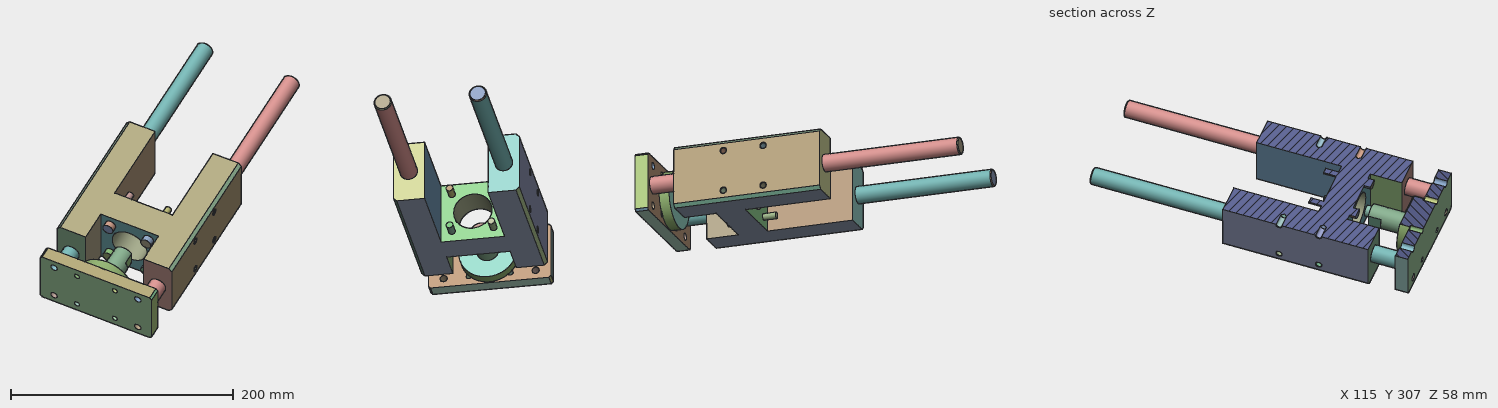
import cadquery as cq

housing_width = 115.0
housing_height = 58.0
housing_front = 37.5
housing_length = 139.7
bay_width = 58.0
web_front = 68.0
web_thickness = 28.0
housing_chamfer = 3.0
web_bore_diameter = 35.0

fixing_pitch = 38.0
screw_head_diameter = 10.0
screw_head_height = 5.8
screw_shank_diameter = 6.0
screw_shank_projection = 12.3

flank_hole_diameter = 5.2
flank_hole_mouth_diameter = 6.0
flank_hole_depth = 12.3
flank_hole_tip_depth = 1.8
flank_hole_first_y = 85.0

overall_length = 307.0
plate_width = 112.0
plate_height = 55.0
plate_thickness = 12.3
plate_chamfer = 2.0
plate_outer_pitch = 84.0
plate_outer_hole_diameter = 6.5
plate_inner_hole_diameter = 5.0
rod_diameter = 16.0
rod_spacing = 87.0
rod_chamfer = 1.0
flange_diameter = 53.0
flange_thickness = 9.5
stud_diameter = 20.0
stud_length = 34.0
stud_flat_length = 12.3
stud_flat_width = 16.0

rod_centers = [(-rod_spacing / 2, 0), (rod_spacing / 2, 0)]


def block(width, length, height, front):
    """Box centred on X and Z that runs along +Y from its front face."""
    return cq.Workplane("XY").box(width, length, height).translate((0, front + length / 2, 0))


def cylinders(centers, diameter, front, length):
    """Cylinders along +Y at (x, z) centers, starting at the front Y."""
    plane = cq.Plane(origin=(0, front, 0), xDir=(1, 0, 0), normal=(0, -1, 0))
    return cq.Workplane(plane).pushPoints(centers).circle(diameter / 2).extrude(-length)


def grid(pitch_x, pitch_z):
    """Four (x, z) points at the corners of a centred rectangle."""
    return [(x * pitch_x / 2, z * pitch_z / 2) for x in (-1, 1) for z in (-1, 1)]


def chamfered_profile(width, height, chamfer):
    """Corner points of a centred rectangle with its four corners cut off."""
    x = width / 2
    z = height / 2
    inner_x = x - chamfer
    inner_z = z - chamfer
    return [
        (-inner_x, -z), (inner_x, -z), (x, -inner_z), (x, inner_z),
        (inner_x, z), (-inner_x, z), (-x, inner_z), (-x, -inner_z),
    ]


def chamfered_bar(width, length, height, front, chamfer):
    """Chamfered rectangle extruded along +Y from its front face."""
    profile = chamfered_profile(width, height, chamfer)
    plane = cq.Plane(origin=(0, front, 0), xDir=(1, 0, 0), normal=(0, -1, 0))
    return cq.Workplane(plane).polyline(profile).close().extrude(-length)


def flank_hole_cutters():
    """Countersunk blind holes with conical bottoms, drilled into both outer flanks."""
    radius = flank_hole_diameter / 2
    mouth_radius = flank_hole_mouth_diameter / 2
    mouth_depth = mouth_radius - radius
    tip = flank_hole_depth + flank_hole_tip_depth
    cutters = []
    for side in (-1, 1):
        for y in (flank_hole_first_y, flank_hole_first_y + fixing_pitch):
            for z in (-fixing_pitch / 2, fixing_pitch / 2):
                plane = cq.Plane(
                    origin=(side * housing_width / 2, y, z), xDir=(0, -1, 0), normal=(0, 0, 1)
                )
                profile = [
                    (0, 0), (mouth_radius, 0), (radius, -side * mouth_depth),
                    (radius, -side * flank_hole_depth), (0, -side * tip),
                ]
                cutter = cq.Workplane(plane).polyline(profile).close().revolve(360, (0, 0), (0, 1))
                cutters.append(cutter)
    return cutters


def make_housing():
    """H-shaped block bored for the rods and the stud, with four screws in its web."""
    web_back = web_front + web_thickness
    housing_back = housing_front + housing_length
    body = chamfered_bar(housing_width, housing_length, housing_height, housing_front, housing_chamfer)
    body = body.cut(block(bay_width, web_front - housing_front, housing_height, housing_front))
    body = body.cut(block(bay_width, housing_back - web_back, housing_height, web_back))
    body = body.cut(cylinders([(0, 0)], web_bore_diameter, web_front, web_thickness))
    body = body.cut(cylinders(rod_centers, rod_diameter, housing_front, housing_length))
    for cutter in flank_hole_cutters():
        body = body.cut(cutter)
    screws = grid(fixing_pitch, fixing_pitch)
    head_front = web_front - screw_head_height
    body = body.union(cylinders(screws, screw_head_diameter, head_front, screw_head_height))
    return body.union(cylinders(screws, screw_shank_diameter, web_back, screw_shank_projection))


def make_stud():
    """Round stud with two flats at its free end."""
    flat_start = plate_thickness + flange_thickness + stud_length - stud_flat_length
    shank_length = flat_start - plate_thickness
    shank = cylinders([(0, 0)], stud_diameter, plate_thickness, shank_length)
    tip = cylinders([(0, 0)], stud_diameter, flat_start, stud_flat_length)
    tip = tip.intersect(block(stud_flat_width, stud_flat_length, stud_diameter, flat_start))
    return shank.union(tip)


def make_slider():
    """Front plate carrying both guide rods, the flange and the stud."""
    body = chamfered_bar(plate_width, plate_thickness, plate_height, 0, plate_chamfer)
    rods = cylinders(rod_centers, rod_diameter, plate_thickness, overall_length - plate_thickness)
    body = body.union(rods.faces(">Y").chamfer(rod_chamfer))
    outer_holes = grid(plate_outer_pitch, fixing_pitch)
    inner_holes = grid(fixing_pitch, fixing_pitch)
    body = body.cut(cylinders(outer_holes, plate_outer_hole_diameter, 0, plate_thickness))
    body = body.cut(cylinders(inner_holes, plate_inner_hole_diameter, 0, plate_thickness))
    body = body.union(cylinders([(0, 0)], flange_diameter, plate_thickness, flange_thickness))
    return body.union(make_stud())


housing = make_housing()
slider = make_slider()
result = cq.Compound.makeCompound([housing.val(), slider.val()])